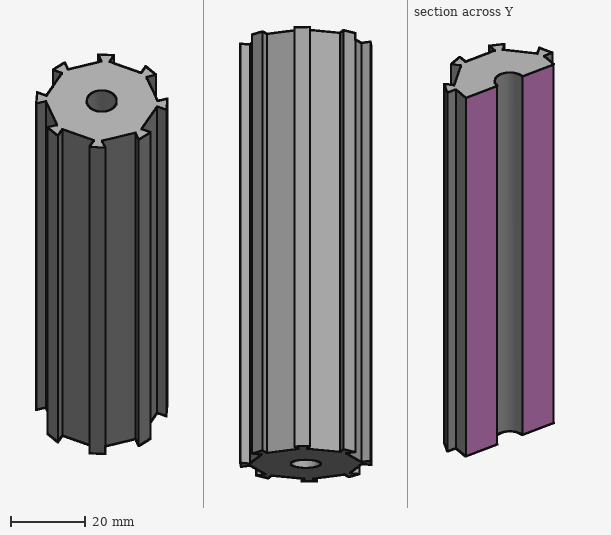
import cadquery as cq

length = 117.0
width_across_flats = 35.1
bore_diameter = 8.1
side_count = 8
slot_width = 9.5
floor_distance = 14.3

slot_pitch = 360 / side_count
cutter_depth = width_across_flats / 2


def slot_cutter(angle):
    """Full-length rectangular slot at the given angle around Z."""
    return (
        cq.Workplane("XY")
        .box(cutter_depth, slot_width, length, centered=(False, True, False))
        .translate((floor_distance, 0, 0))
        .rotate((0, 0, 0), (0, 0, 1), angle)
    )


result = (
    cq.Workplane("XY")
    .polygon(side_count, width_across_flats, circumscribed=True)
    .circle(bore_diameter / 2)
    .extrude(length)
    .rotate((0, 0, 0), (0, 0, 1), slot_pitch / 2)
)

for index in range(side_count):
    result = result.cut(slot_cutter(index * slot_pitch))